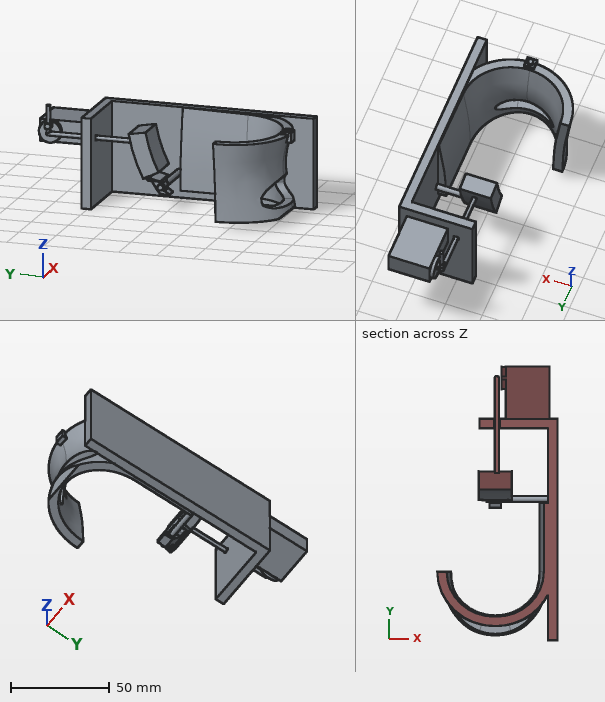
import cadquery as cq
import math


PLATE = 5.0
FRAME_HEIGHT = 48.0
WALL_LENGTH = 113.2
END_PLATE_LENGTH = 40.0

CUP_X = -31.9
CUP_Y = -78.1
CUP_THICKNESS = 5.0
CUP_BOTTOM = 5.0
WING_END_Y = -43.0
CUP_SECTIONS = [
    (CUP_BOTTOM, 27.5, 33.0),
    (12.6, 27.8, 31.0),
    (22.4, 28.2, 28.1),
    (32.1, 29.2, 27.4),
    (FRAME_HEIGHT, 31.5, 31.3),
]
RIM_DROP = 1.3
LIP_CHAMFER_DEPTH = 3.9
LIP_CHAMFER_HEIGHT = 3.0

WINDOW_BOTTOM = 10.5
WINDOW_MIDDLE = 15.8
WINDOW_RISE_ANGLE = 17
WINDOW_HALF_ANGLE = 41
WINDOW_FLAT_SHARE = 0.3
WINDOW_NEAR = 11.2
WINDOW_FAR = 36.3

LUG_SIZE = 5.3
LUG_Y = -107.7
STUD_DIAMETER = 3.1
STUD_HEIGHT = 1.0

MOTOR_WIDTH = 22.4
MOTOR_LENGTH = 26.5
MOTOR_RIGHT_X = -4.2
MOTOR_LEFT_X = MOTOR_RIGHT_X - MOTOR_WIDTH
CRANK_DIAMETER = 11.7
MOTOR_HEIGHT = CRANK_DIAMETER
CRANK_Y = MOTOR_LENGTH - CRANK_DIAMETER / 2
CRANK_Z = 35.9
SHAFT_DIAMETER = 2.0

CRANK_THICKNESS = 2.2
CRANK_THROW = 3.8
CRANK_PIN_DIAMETER = 3.2
CRANK_PIN_LENGTH = 3.8
CRANK_FACE_X = MOTOR_LEFT_X - CRANK_THICKNESS

ROD_X = -31.0
ROD_Z = 35.6
ROD_DIAMETER = 2.2
ROD_LEG_DIAMETER = 2.1
ROD_TOP = 50.6
ROD_FRONT_Y = -28.0
ROD_HOLE_DIAMETER = 3.0

FINGER_WIDTH = 17.0
FINGER_THICKNESS = 9.2
FINGER_BACK_RADIUS = 83.8
FINGER_TOP_Y = -25.4
FINGER_TOP_Z = 41.8
FINGER_TOP_ANGLE = 10.4
FINGER_SPAN = 16.7
TAB_WIDTH = 13.8
NECK_WIDTH = 6.0
NECK_TOP = 17.0
SHOULDER_RADIUS = 1.7
TAB_TIP_Z = 9.9
BARREL_DIAMETER = 3.8
TAB_OUTLINE = [
    (-35.8, 21.0),
    (-35.8, 19.0),
    (-41.8, 17.6),
    (-42.2, 16.0),
    (-40.8, 16.0),
    (-40.8, 12.0),
    (-42.9, 11.7),
    (-45.5, TAB_TIP_Z),
    (-40.4, TAB_TIP_Z),
    (-33.8, 19.4),
    (-33.8, 21.0),
]

HINGE_Y = -41.1
HINGE_Z = 13.7
HINGE_DIAMETER = 3.2
HINGE_LEFT_X = -36.3


def box(x0, x1, y0, y1, z0, z1):
    return cq.Workplane("XY").box(x1 - x0, y1 - y0, z1 - z0, centered=False).translate((x0, y0, z0))


def cylinder(diameter, start, end):
    axis = cq.Vector(*end) - cq.Vector(*start)
    return cq.Workplane(obj=cq.Solid.makeCylinder(diameter / 2, axis.Length, cq.Vector(*start), axis))


def cup_section(height, half_width, depth):
    """Closed J-shaped outline of the cup at one height."""
    inner_width = half_width - CUP_THICKNESS
    inner_depth = depth - CUP_THICKNESS
    outline = (
        cq.Workplane("XY", origin=(CUP_X, 0, height))
        .moveTo(half_width, WING_END_Y)
        .lineTo(half_width, CUP_Y)
        .ellipseArc(half_width, depth, -90, 0, sense=-1)
        .ellipseArc(half_width, depth, 180, 270, sense=-1)
        .lineTo(-inner_width, CUP_Y)
        .ellipseArc(inner_width, inner_depth, 180, 270)
        .ellipseArc(inner_width, inner_depth, -90, 0)
        .lineTo(inner_width, WING_END_Y)
        .close()
    )
    return outline.val()


def side_prism(points, half_width):
    """Prism along X over a (Y, Z) outline, centred on the cup."""
    outline = cq.Workplane("YZ", origin=(CUP_X, 0, 0)).polyline(points).close()
    return outline.extrude(half_width, both=True)


def window():
    """D-shaped opening that widens away from the cup axis."""
    def outline(depth):
        half_width = depth * math.tan(math.radians(WINDOW_HALF_ANGLE))
        flat = WINDOW_FLAT_SHARE * half_width
        lower = WINDOW_MIDDLE - WINDOW_BOTTOM
        upper = depth * math.tan(math.radians(WINDOW_RISE_ANGLE))
        plane = cq.Workplane("XZ", origin=(CUP_X, CUP_Y - depth, 0))
        return (
            plane.moveTo(-flat, WINDOW_BOTTOM)
            .lineTo(flat, WINDOW_BOTTOM)
            .ellipseArc(half_width - flat, lower, -90, 0)
            .ellipseArc(half_width, upper, 0, 90)
            .ellipseArc(half_width, upper, 90, 180)
            .ellipseArc(half_width - flat, lower, 180, 270)
            .close()
            .val()
        )

    return cq.Workplane(obj=cq.Solid.makeLoft([outline(WINDOW_NEAR), outline(WINDOW_FAR)], True))


def make_cup():
    cup = cq.Workplane(obj=cq.Solid.makeLoft([cup_section(*section) for section in CUP_SECTIONS]))
    reach = 2 * CUP_SECTIONS[0][1]
    nose_y = CUP_Y - CUP_SECTIONS[0][2]
    rim_y = CUP_Y - CUP_SECTIONS[-1][2]
    rim_slope = RIM_DROP / (WING_END_Y - rim_y)
    clear_y = nose_y - LUG_SIZE
    rim_cut = side_prism([
        (WING_END_Y, FRAME_HEIGHT),
        (clear_y, FRAME_HEIGHT + rim_slope * (clear_y - WING_END_Y)),
        (clear_y, FRAME_HEIGHT + PLATE),
        (WING_END_Y, FRAME_HEIGHT + PLATE),
    ], reach)
    lip_cut = side_prism([
        (clear_y, CUP_BOTTOM - PLATE),
        (nose_y + LIP_CHAMFER_DEPTH, CUP_BOTTOM - PLATE),
        (nose_y + LIP_CHAMFER_DEPTH, CUP_BOTTOM),
        (nose_y, CUP_BOTTOM + LIP_CHAMFER_HEIGHT),
        (clear_y, CUP_BOTTOM + LIP_CHAMFER_HEIGHT),
    ], reach)
    return cup.cut(rim_cut).cut(lip_cut).cut(window())


def make_lug():
    half = LUG_SIZE / 2
    lug = box(ROD_X - half, ROD_X + half, LUG_Y - half, LUG_Y + half, FRAME_HEIGHT - LUG_SIZE, FRAME_HEIGHT)
    stud_top = FRAME_HEIGHT + STUD_HEIGHT
    stud = cylinder(STUD_DIAMETER, (ROD_X, LUG_Y, FRAME_HEIGHT - half), (ROD_X, LUG_Y, stud_top))
    return lug.union(stud)


def make_frame():
    wall = box(-PLATE, 0, -WALL_LENGTH, 0, 0, FRAME_HEIGHT)
    end_plate = box(-END_PLATE_LENGTH, 0, -PLATE, 0, 0, FRAME_HEIGHT)
    rod_hole = cylinder(ROD_HOLE_DIAMETER, (ROD_X, -PLATE, ROD_Z), (ROD_X, 0, ROD_Z))
    return wall.union(end_plate.cut(rod_hole)).union(make_cup()).union(make_lug())


def make_shaft():
    return cylinder(SHAFT_DIAMETER, (MOTOR_LEFT_X, CRANK_Y, CRANK_Z), (CRANK_FACE_X, CRANK_Y, CRANK_Z))


def make_motor():
    bottom = CRANK_Z - MOTOR_HEIGHT / 2
    case = box(MOTOR_LEFT_X, MOTOR_RIGHT_X, 0, MOTOR_LENGTH, bottom, bottom + MOTOR_HEIGHT)
    return case.union(make_shaft())


def make_push_rod():
    corner = (ROD_X, CRANK_Y, ROD_Z)
    rod = cylinder(ROD_DIAMETER, (ROD_X, ROD_FRONT_Y, ROD_Z), corner)
    leg = cylinder(ROD_LEG_DIAMETER, corner, (ROD_X, CRANK_Y, ROD_TOP))
    elbow = cq.Workplane("XY").sphere(ROD_DIAMETER / 2).translate(corner)
    return rod.union(elbow).union(leg)


def make_crank():
    disc = cylinder(CRANK_DIAMETER, (MOTOR_LEFT_X, CRANK_Y, CRANK_Z), (CRANK_FACE_X, CRANK_Y, CRANK_Z))
    pin_z = CRANK_Z + CRANK_THROW
    pin_end = CRANK_FACE_X - CRANK_PIN_LENGTH
    pin = cylinder(CRANK_PIN_DIAMETER, (MOTOR_LEFT_X, CRANK_Y, pin_z), (pin_end, CRANK_Y, pin_z))
    return disc.union(pin).cut(make_shaft()).cut(make_push_rod())


def make_finger_block():
    """Ring sector between two arcs about one centre in front of the finger."""
    top = math.radians(FINGER_TOP_ANGLE)
    centre_y = FINGER_TOP_Y - FINGER_BACK_RADIUS * math.cos(top)
    centre_z = FINGER_TOP_Z + FINGER_BACK_RADIUS * math.sin(top)
    front_radius = FINGER_BACK_RADIUS - FINGER_THICKNESS

    def point(radius, turn):
        angle = top + math.radians(turn)
        return (centre_y + radius * math.cos(angle), centre_z - radius * math.sin(angle))

    return (
        cq.Workplane("YZ", origin=(CUP_X, 0, 0))
        .moveTo(*point(FINGER_BACK_RADIUS, 0))
        .threePointArc(point(FINGER_BACK_RADIUS, FINGER_SPAN / 2), point(FINGER_BACK_RADIUS, FINGER_SPAN))
        .lineTo(*point(front_radius, FINGER_SPAN))
        .threePointArc(point(front_radius, FINGER_SPAN / 2), point(front_radius, 0))
        .close()
        .extrude(FINGER_WIDTH / 2, both=True)
    )


def make_hinge_tab():
    """Sloping tab with round shoulders and a narrow neck, notched in front so that its barrel shows."""
    slab = side_prism(TAB_OUTLINE, TAB_WIDTH / 2)
    neck = NECK_WIDTH / 2
    shoulder = TAB_WIDTH / 2
    shoulder_z = NECK_TOP + SHOULDER_RADIUS
    round_x = shoulder - SHOULDER_RADIUS
    silhouette = (
        cq.Workplane("XZ", origin=(CUP_X, 0, 0))
        .moveTo(-neck, TAB_TIP_Z)
        .lineTo(neck, TAB_TIP_Z)
        .lineTo(neck, NECK_TOP)
        .lineTo(round_x, NECK_TOP)
        .radiusArc((shoulder, shoulder_z), -SHOULDER_RADIUS)
        .lineTo(shoulder, FINGER_TOP_Z)
        .lineTo(-shoulder, FINGER_TOP_Z)
        .lineTo(-shoulder, shoulder_z)
        .radiusArc((-round_x, NECK_TOP), -SHOULDER_RADIUS)
        .lineTo(-neck, NECK_TOP)
        .close()
        .extrude(WALL_LENGTH)
    )
    barrel = cylinder(BARREL_DIAMETER, (CUP_X - neck, HINGE_Y, HINGE_Z), (CUP_X + neck, HINGE_Y, HINGE_Z))
    return slab.intersect(silhouette).union(barrel)


def make_hinge_pin():
    return cylinder(HINGE_DIAMETER, (HINGE_LEFT_X, HINGE_Y, HINGE_Z), (-PLATE, HINGE_Y, HINGE_Z))


def make_finger():
    return make_finger_block().union(make_hinge_tab()).cut(make_hinge_pin()).cut(make_push_rod())


frame = make_frame()
motor = make_motor()
crank = make_crank()
push_rod = make_push_rod()
finger = make_finger()
hinge_pin = make_hinge_pin()

result = cq.Compound.makeCompound([
    frame.val(),
    motor.val(),
    crank.val(),
    push_rod.val(),
    finger.val(),
    hinge_pin.val(),
])